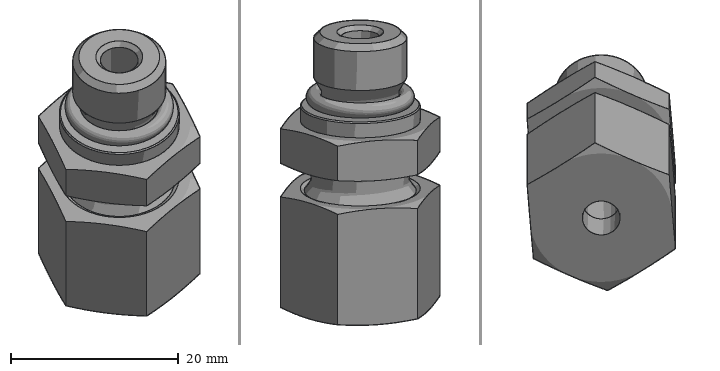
import cadquery as cq
import math


TOTAL_HEIGHT = 34.0
NUT_TOP = 14.5
HEX_BOTTOM = 18.0
HEX_TOP = 23.0
COLLAR_TOP = 24.92
STUD_BOTTOM = 28.4
NUT_THREAD_BOTTOM = 4.42

HEX_SIDES = 6
HEX_ACROSS_FLATS = 17.0
HEX_CORNER_ANGLE = 37.5
HEX_CHAMFER_ANGLE = 15.0

STUD_DIAMETER = 11.12
STUD_CHAMFER = 0.75
GROOVE_DIAMETER = 9.25
GROOVE_FILLET = 1.0
STUD_RUNOUT_ANGLE = 30.0
COLLAR_DIAMETER = 14.3
COLLAR_CHAMFER = 0.153
NECK_DIAMETER = 11.7
NECK_TOP_FILLET = 1.0
NECK_TOP_FILLET_TURN = 90.0
NECK_FILLET_TOP = 15.65
NECK_BOTTOM_FILLET = 0.75
THREAD_DIAMETER = 14.0
THREAD_RUNOUT_ANGLE = 35.0

BORE_DIAMETER = 4.5
BORE_MOUTH_DIAMETER = 5.58
BORE_MOUTH_DEPTH = 0.55

NUT_MOUTH_DIAMETER = 14.3
NUT_MOUTH_FLOOR_DIAMETER = 12.38
NUT_MOUTH_SLOPE_ANGLE = 30.0

RING_SECTION_DIAMETER = 1.8
RING_CENTRELINE_DIAMETER = 11.12
RING_CENTRE_HEIGHT = 25.9


def cylinder(diameter, bottom, top):
    """An upright cylinder between two heights."""
    return cq.Workplane("XY").workplane(offset=bottom).circle(diameter / 2).extrude(top - bottom)


def chamfered_hexagon(bottom, top):
    """A hexagonal prism whose corners are turned off by a shallow cone at both ends."""
    corner_radius = HEX_ACROSS_FLATS / 2 / math.cos(math.radians(180 / HEX_SIDES))
    corner_overhang = corner_radius - HEX_ACROSS_FLATS / 2
    corner_drop = corner_overhang * math.tan(math.radians(HEX_CHAMFER_ANGLE))
    prism = (
        cq.Workplane("XY")
        .workplane(offset=bottom)
        .polygon(HEX_SIDES, 2 * corner_radius)
        .extrude(top - bottom)
        .rotate((0, 0, 0), (0, 0, 1), HEX_CORNER_ANGLE)
    )
    turned_envelope = (
        cq.Workplane("XZ")
        .moveTo(0, bottom)
        .lineTo(HEX_ACROSS_FLATS / 2, bottom)
        .lineTo(corner_radius, bottom + corner_drop)
        .lineTo(corner_radius, top - corner_drop)
        .lineTo(HEX_ACROSS_FLATS / 2, top)
        .lineTo(0, top)
        .close()
        .revolve(360, (0, 0, 0), (0, 1, 0))
    )
    return prism.intersect(turned_envelope)


def fillet_growth(fillet, turn_degrees):
    """How far a fillet has moved outward from its cylinder after turning by an angle."""
    return fillet * (1 - math.cos(math.radians(turn_degrees)))


def fillet_rise(fillet, turn_degrees):
    """How far a fillet has moved along the axis after turning by an angle."""
    return fillet * math.sin(math.radians(turn_degrees))


def stud_and_collar():
    """The upper turned part: collar, O-ring groove and chamfered stud."""
    stud_radius = STUD_DIAMETER / 2
    collar_radius = COLLAR_DIAMETER / 2
    groove_radius = GROOVE_DIAMETER / 2
    cone_radius = groove_radius + fillet_growth(GROOVE_FILLET, STUD_RUNOUT_ANGLE)
    cone_length = (stud_radius - cone_radius) / math.tan(math.radians(STUD_RUNOUT_ANGLE))
    cone_bottom = STUD_BOTTOM - cone_length
    fillet_bottom = cone_bottom - fillet_rise(GROOVE_FILLET, STUD_RUNOUT_ANGLE)
    fillet_mid_radius = groove_radius + fillet_growth(GROOVE_FILLET, STUD_RUNOUT_ANGLE / 2)
    fillet_mid_height = fillet_bottom + fillet_rise(GROOVE_FILLET, STUD_RUNOUT_ANGLE / 2)
    return (
        cq.Workplane("XZ")
        .moveTo(0, HEX_TOP)
        .lineTo(collar_radius, HEX_TOP)
        .lineTo(collar_radius, COLLAR_TOP - COLLAR_CHAMFER)
        .lineTo(collar_radius - COLLAR_CHAMFER, COLLAR_TOP)
        .lineTo(groove_radius, COLLAR_TOP)
        .lineTo(groove_radius, fillet_bottom)
        .threePointArc((fillet_mid_radius, fillet_mid_height), (cone_radius, cone_bottom))
        .lineTo(stud_radius, STUD_BOTTOM)
        .lineTo(stud_radius, TOTAL_HEIGHT - STUD_CHAMFER)
        .lineTo(stud_radius - STUD_CHAMFER, TOTAL_HEIGHT)
        .lineTo(0, TOTAL_HEIGHT)
        .close()
        .revolve(360, (0, 0, 0), (0, 1, 0))
    )


def neck_and_thread():
    """The lower turned part: filleted neck, conical runout and the thread inside the nut."""
    neck_radius = NECK_DIAMETER / 2
    thread_radius = THREAD_DIAMETER / 2
    top_mid_radius = neck_radius + fillet_growth(NECK_TOP_FILLET, NECK_TOP_FILLET_TURN / 2)
    top_mid_height = HEX_BOTTOM - NECK_TOP_FILLET + fillet_rise(NECK_TOP_FILLET, NECK_TOP_FILLET_TURN / 2)
    fillet_mid_radius = neck_radius + fillet_growth(NECK_BOTTOM_FILLET, THREAD_RUNOUT_ANGLE / 2)
    fillet_mid_height = NECK_FILLET_TOP - fillet_rise(NECK_BOTTOM_FILLET, THREAD_RUNOUT_ANGLE / 2)
    cone_radius = neck_radius + fillet_growth(NECK_BOTTOM_FILLET, THREAD_RUNOUT_ANGLE)
    cone_top = NECK_FILLET_TOP - fillet_rise(NECK_BOTTOM_FILLET, THREAD_RUNOUT_ANGLE)
    cone_length = (thread_radius - cone_radius) / math.tan(math.radians(THREAD_RUNOUT_ANGLE))
    return (
        cq.Workplane("XZ")
        .moveTo(0, HEX_BOTTOM)
        .lineTo(neck_radius + NECK_TOP_FILLET, HEX_BOTTOM)
        .threePointArc(
            (top_mid_radius, top_mid_height),
            (neck_radius, HEX_BOTTOM - NECK_TOP_FILLET),
        )
        .lineTo(neck_radius, NECK_FILLET_TOP)
        .threePointArc((fillet_mid_radius, fillet_mid_height), (cone_radius, cone_top))
        .lineTo(thread_radius, cone_top - cone_length)
        .lineTo(thread_radius, NUT_THREAD_BOTTOM)
        .lineTo(0, NUT_THREAD_BOTTOM)
        .close()
        .revolve(360, (0, 0, 0), (0, 1, 0))
    )


def make_body():
    """The fitting body with its through passage."""
    solid = chamfered_hexagon(HEX_BOTTOM, HEX_TOP).union(stud_and_collar()).union(neck_and_thread())
    bore = cylinder(BORE_DIAMETER, 0, TOTAL_HEIGHT)
    bore_mouth = cq.Solid.makeCone(
        BORE_DIAMETER / 2,
        BORE_MOUTH_DIAMETER / 2,
        BORE_MOUTH_DEPTH,
        pnt=cq.Vector(0, 0, TOTAL_HEIGHT - BORE_MOUTH_DEPTH),
    )
    return solid.cut(bore).cut(cq.Workplane(bore_mouth))


def make_nut(body):
    """The union nut: a hexagon with a countersunk hole that follows the thread, over the passage."""
    mouth_width = (NUT_MOUTH_DIAMETER - NUT_MOUTH_FLOOR_DIAMETER) / 2
    mouth_depth = mouth_width * math.tan(math.radians(NUT_MOUTH_SLOPE_ANGLE))
    mouth = cq.Solid.makeCone(
        NUT_MOUTH_FLOOR_DIAMETER / 2,
        NUT_MOUTH_DIAMETER / 2,
        mouth_depth,
        pnt=cq.Vector(0, 0, NUT_TOP - mouth_depth),
    )
    return (
        chamfered_hexagon(0, NUT_TOP)
        .cut(cylinder(BORE_DIAMETER, 0, NUT_TOP))
        .cut(cq.Workplane(mouth))
        .cut(body)
    )


def make_o_ring():
    """The O-ring around the groove, just above the collar."""
    ring = cq.Solid.makeTorus(
        RING_CENTRELINE_DIAMETER / 2,
        RING_SECTION_DIAMETER / 2,
        pnt=cq.Vector(0, 0, RING_CENTRE_HEIGHT),
    )
    return cq.Workplane(ring)


body = make_body()
nut = make_nut(body)
o_ring = make_o_ring()

result = cq.Compound.makeCompound([body.val(), nut.val(), o_ring.val()])